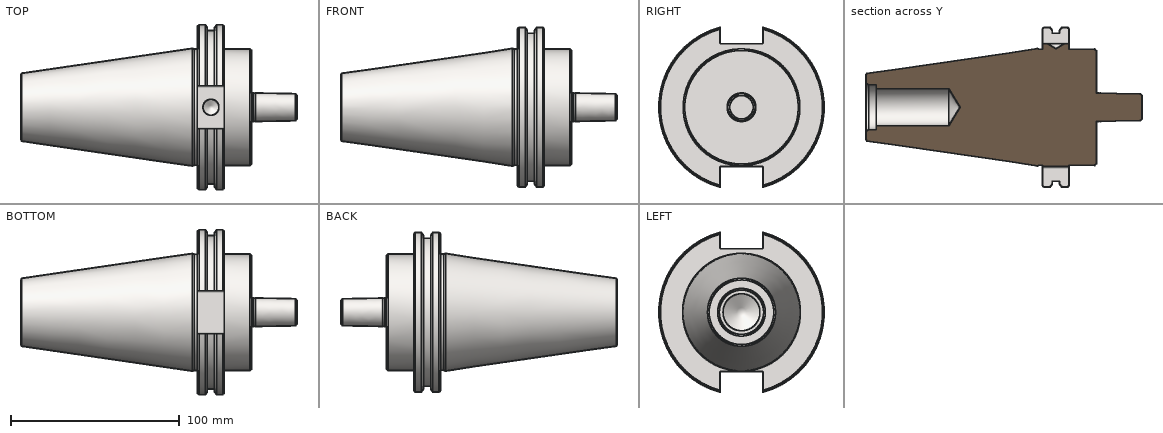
import cadquery as cq
import math


taper_length = 101.6
taper_large_diameter = 69.8
taper_ratio = 7 / 24
taper_small_diameter = taper_large_diameter - taper_length * taper_ratio
taper_edge_length = 0.5
taper_edge_height = 1.0
relief_radius = 34.5
relief_slope_length = 1.0

flange_start = 104.5
flange_end = 120.4
flange_radius = 98.0 / 2
flange_chamfer = 1.0
groove_center = 112.5
groove_mouth_width = 6.9
groove_neck_width = 4.1
groove_neck_radius = 47.1
groove_root_radius = 45.6

nose_end = 136.6
nose_radius = 69.2 / 2
nose_chamfer = 1.0

arbor_end = 163.5
arbor_radius = 17.0 / 2
arbor_tip_radius = 16.2 / 2
arbor_collar_length = 2.8
arbor_groove_start = 137.5
arbor_groove_end = 138.9
arbor_groove_depth = 0.2
arbor_chamfer = 1.1

bore_mouth_diameter = 28.3
bore_mouth_depth = 1.8
counterbore_diameter = 26.2
counterbore_depth = 6.0
bore_diameter = 22.0
bore_depth = 49.0
drill_point_angle = 118.0

slot_width = 25.4
slot_fillet = 0.7
upper_slot_floor = 37.6
lower_slot_floor = 35.2
slot_hole_diameter = 9.5


def drill_point_length(diameter):
    return diameter / 2 / math.tan(math.radians(drill_point_angle / 2))


def revolve_about_x(points):
    """Turn a closed (x, radius) outline about the X axis."""
    profile = cq.Workplane("XY").polyline(points).close()
    return profile.revolve(360, (0, 0, 0), (1, 0, 0))


def make_body():
    small_radius = taper_small_diameter / 2
    taper_edge_radius = small_radius + taper_edge_length * taper_ratio / 2
    arbor_collar_end = nose_end + arbor_collar_length
    arbor_groove_radius = arbor_radius - arbor_groove_depth
    return revolve_about_x([
        (0, 0),
        (0, small_radius - taper_edge_height),
        (taper_edge_length, taper_edge_radius),
        (taper_length, taper_large_diameter / 2),
        (taper_length + relief_slope_length, relief_radius),
        (flange_start, relief_radius),
        (flange_start, flange_radius - flange_chamfer),
        (flange_start + flange_chamfer, flange_radius),
        (groove_center - groove_mouth_width / 2, flange_radius),
        (groove_center - groove_neck_width / 2, groove_neck_radius),
        (groove_center - groove_neck_width / 2, groove_root_radius),
        (groove_center + groove_neck_width / 2, groove_root_radius),
        (groove_center + groove_neck_width / 2, groove_neck_radius),
        (groove_center + groove_mouth_width / 2, flange_radius),
        (flange_end - flange_chamfer, flange_radius),
        (flange_end, flange_radius - flange_chamfer),
        (flange_end, nose_radius),
        (nose_end - nose_chamfer, nose_radius),
        (nose_end, nose_radius - nose_chamfer),
        (nose_end, arbor_radius),
        (arbor_groove_start, arbor_radius),
        (arbor_groove_start, arbor_groove_radius),
        (arbor_groove_end, arbor_groove_radius),
        (arbor_groove_end, arbor_radius),
        (arbor_collar_end, arbor_radius),
        (arbor_end - arbor_chamfer, arbor_tip_radius),
        (arbor_end, arbor_tip_radius - arbor_chamfer),
        (arbor_end, 0),
    ])


def make_bore():
    return revolve_about_x([
        (0, 0),
        (0, bore_mouth_diameter / 2),
        (bore_mouth_depth, counterbore_diameter / 2),
        (counterbore_depth, counterbore_diameter / 2),
        (counterbore_depth, bore_diameter / 2),
        (bore_depth, bore_diameter / 2),
        (bore_depth + drill_point_length(bore_diameter), 0),
    ])


def make_slot(floor_height, side):
    """Slot through the flange; side is +1 for the top and -1 for the bottom."""
    slot_height = flange_radius + 1.6 - floor_height
    slot = cq.Workplane("XY").box(
        flange_end - flange_start, slot_width, slot_height, centered=(False, True, False)
    )
    slot = slot.faces("<Z").edges("|X").fillet(slot_fillet)
    slot = slot.translate((flange_start, 0, floor_height))
    if side < 0:
        slot = slot.mirror("XY")
    return slot


def make_slot_hole():
    """Conical drill mark in the middle of the upper slot floor."""
    tip_height = upper_slot_floor - drill_point_length(slot_hole_diameter)
    profile = cq.Workplane("XZ").polyline([
        (0, upper_slot_floor),
        (slot_hole_diameter / 2, upper_slot_floor),
        (0, tip_height),
    ]).close()
    hole = profile.revolve(360, (0, 0, 0), (0, 1, 0))
    return hole.translate((groove_center, 0, 0))


result = (
    make_body()
    .cut(make_bore())
    .cut(make_slot(upper_slot_floor, 1))
    .cut(make_slot(lower_slot_floor, -1))
    .cut(make_slot_hole())
)